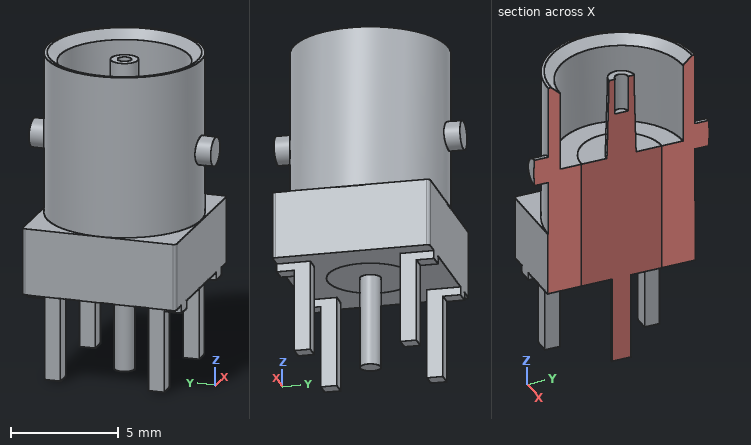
import cadquery as cq

total_height = 15.49
base_bottom = 4.41
base_top = 7.65
foot_bottom = 4.03
leg_bottom = 0.06

base_side = 7.55
base_corner_radius = 0.15
leg_side = 0.77
leg_offset = 2.54

barrel_radius = 3.75
bore_radius = 3.13
mouth_radius = 3.6
mouth_depth = 0.43
bore_floor = 11

lug_span = 9.02
lug_radius = 0.7
lug_height = 11.09

plug_radius = 2.05
tail_radius = 0.5
contact_root_radius = 0.76
contact_tip_radius = 0.65
contact_top = total_height - 0.34
socket_radius = 0.33
socket_depth = 1.86


def cylinder(radius, bottom, top):
    return cq.Workplane("XY").workplane(offset=bottom).circle(radius).extrude(top - bottom)


def make_base():
    block = (
        cq.Workplane("XY").workplane(offset=base_bottom)
        .rect(base_side, base_side).extrude(base_top - base_bottom)
    )
    return block.edges("|Z").fillet(base_corner_radius)


def make_lugs():
    """A crossbar along Y whose ends are domed by a sphere about its centre."""
    bar = (
        cq.Workplane("XZ").center(0, lug_height)
        .circle(lug_radius).extrude(lug_span / 2, both=True)
    )
    dome = cq.Workplane("XY").sphere(lug_span / 2).translate((0, 0, lug_height))
    return bar.intersect(dome)


def make_leg(x_side, y_side):
    """A square leg with a foot reaching out to the edge of the base along Y."""
    leg = (
        cq.Workplane("XY").workplane(offset=leg_bottom)
        .center(x_side * leg_offset, y_side * leg_offset)
        .rect(leg_side, leg_side).extrude(base_bottom - leg_bottom)
    )
    foot_length = base_side / 2 - leg_offset
    foot = (
        cq.Workplane("XY").workplane(offset=foot_bottom)
        .center(x_side * leg_offset, y_side * (leg_offset + foot_length / 2))
        .rect(leg_side, foot_length).extrude(base_bottom - foot_bottom)
    )
    return leg.union(foot)


def make_bore():
    """The barrel bore with its flared mouth, as a solid to cut away."""
    mouth_bottom = total_height - mouth_depth
    return (
        cq.Workplane("XZ")
        .moveTo(0, bore_floor)
        .lineTo(bore_radius, bore_floor)
        .lineTo(bore_radius, mouth_bottom)
        .lineTo(mouth_radius, total_height)
        .lineTo(0, total_height)
        .close()
        .revolve(360, (0, 0, 0), (0, 1, 0))
    )


def make_housing():
    body = make_base().union(cylinder(barrel_radius, base_top, total_height))
    body = body.union(make_lugs())
    for x_side in (-1, 1):
        for y_side in (-1, 1):
            body = body.union(make_leg(x_side, y_side))
    body = body.cut(make_bore())
    return body.cut(cylinder(plug_radius, base_bottom, bore_floor))


def make_contact():
    """Tail, plug and tapered socket turned as one profile about the Z axis."""
    profile = (
        cq.Workplane("XZ")
        .lineTo(tail_radius, 0)
        .lineTo(tail_radius, base_bottom)
        .lineTo(plug_radius, base_bottom)
        .lineTo(plug_radius, bore_floor)
        .lineTo(contact_root_radius, bore_floor)
        .lineTo(contact_tip_radius, contact_top)
        .lineTo(0, contact_top)
        .close()
    )
    turned = profile.revolve(360, (0, 0, 0), (0, 1, 0))
    return turned.cut(cylinder(socket_radius, contact_top - socket_depth, contact_top))


housing = make_housing()
contact = make_contact()
result = cq.Compound.makeCompound([housing.val(), contact.val()])